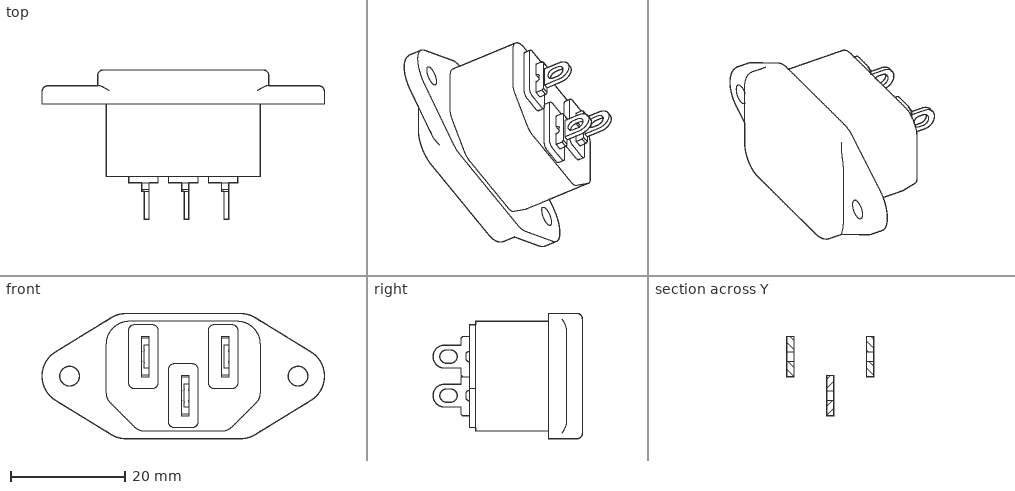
import cadquery as cq
import math


COLLAR_WIDTH = 30.0
COLLAR_HEIGHT = 22.0
COLLAR_DEPTH = 6.0
COLLAR_CORNER_RADIUS = 5.0
COLLAR_EDGE_FILLET = 1.0
FLANGE_LENGTH = 49.5
FLANGE_THICKNESS = 3.2
FLANGE_EDGE_FILLET = 1.05
EAR_RADIUS = COLLAR_CORNER_RADIUS
MOUNTING_HOLE_SPACING = 40.0
MOUNTING_HOLE_SHIFT_X = 0.1
MOUNTING_HOLE_DIAMETER = 3.4

BODY_WIDTH = 27.0
BODY_HEIGHT = 19.25
BODY_DEPTH = 12.7
BODY_TOP_RADIUS = 4.05
BODY_CHAMFER = 5.7
BODY_CHAMFER_RADIUS = 2.48

PAD_WIDTH = 5.2
PAD_HEIGHT = 11.2
PAD_THICKNESS = 1.1
PAD_CORNER_RADIUS = 1.05
PAD_SPACING = 7.0
PAD_OFFSET_Z = 3.4
PAD_CENTERS = [
    (-PAD_SPACING, PAD_OFFSET_Z),
    (0, -PAD_OFFSET_Z),
    (PAD_SPACING, PAD_OFFSET_Z),
]
BODY_REAR_Y = -BODY_DEPTH
PAD_FACE_Y = BODY_REAR_Y - PAD_THICKNESS

BASE_WIDTH = 1.3
BASE_HEIGHT = 7.1
BASE_DEPTH = 1.5
BASE_CHAMFER = 0.3
BASE_OFFSET_X = 0.35
NOTCH_WIDTH = 1.75
NOTCH_DEPTH = 0.6
NOTCH_CORNER_RADIUS = 0.5
TAB_THICKNESS = 0.85
TAB_HEIGHT = 4.05
TAB_LENGTH = 4.9
EYE_LENGTH = 3.0
EYE_HEIGHT = 2.3
EYE_CENTER_FROM_BASE = 2.2


def rear_facing_plane(y):
    """XZ sketch plane at the given Y; positive extrusion goes toward -Y."""
    return cq.Workplane("XZ", origin=(0, y, 0))


def make_collar():
    collar = (
        rear_facing_plane(0)
        .rect(COLLAR_WIDTH, COLLAR_HEIGHT)
        .extrude(-COLLAR_DEPTH)
        .edges("|Y")
        .fillet(COLLAR_CORNER_RADIUS)
    )
    return collar.faces(">Y").edges().fillet(COLLAR_EDGE_FILLET)


def make_flange():
    """Plate whose slanted sides are tangent to the ear arcs and the collar corners."""
    ear_x = FLANGE_LENGTH / 2 - EAR_RADIUS
    corner_x = COLLAR_WIDTH / 2 - COLLAR_CORNER_RADIUS
    corner_z = COLLAR_HEIGHT / 2 - COLLAR_CORNER_RADIUS
    slant = math.atan2(corner_z, ear_x - corner_x)
    tangent_x = EAR_RADIUS * math.sin(slant)
    tangent_z = EAR_RADIUS * math.cos(slant)
    ear_end = (ear_x + tangent_x, tangent_z)
    collar_end = (corner_x + tangent_x, corner_z + tangent_z)
    plate = (
        rear_facing_plane(0)
        .moveTo(-collar_end[0], collar_end[1])
        .lineTo(collar_end[0], collar_end[1])
        .lineTo(ear_end[0], ear_end[1])
        .threePointArc((FLANGE_LENGTH / 2, 0), (ear_end[0], -ear_end[1]))
        .lineTo(collar_end[0], -collar_end[1])
        .lineTo(-collar_end[0], -collar_end[1])
        .lineTo(-ear_end[0], -ear_end[1])
        .threePointArc((-FLANGE_LENGTH / 2, 0), (-ear_end[0], ear_end[1]))
        .close()
        .extrude(-FLANGE_THICKNESS)
    )
    return plate.faces(">Y").edges().fillet(FLANGE_EDGE_FILLET)


def make_mounting_holes():
    return (
        rear_facing_plane(0)
        .center(MOUNTING_HOLE_SHIFT_X, 0)
        .pushPoints([(-MOUNTING_HOLE_SPACING / 2, 0), (MOUNTING_HOLE_SPACING / 2, 0)])
        .circle(MOUNTING_HOLE_DIAMETER / 2)
        .extrude(-FLANGE_THICKNESS)
    )


def make_rear_body():
    """Block with large top corners and chamfered, softened bottom corners."""
    block = rear_facing_plane(0).rect(BODY_WIDTH, BODY_HEIGHT).extrude(BODY_DEPTH)
    block = block.edges("|Y and >Z").fillet(BODY_TOP_RADIUS)
    block = block.edges("|Y and <Z").chamfer(BODY_CHAMFER)
    lower_half = cq.selectors.BoxSelector(
        (-BODY_WIDTH, -BODY_DEPTH, -BODY_HEIGHT),
        (BODY_WIDTH, 0, 0),
    )
    return block.edges("|Y").edges(lower_half).fillet(BODY_CHAMFER_RADIUS)


def make_pads():
    return (
        rear_facing_plane(BODY_REAR_Y)
        .pushPoints(PAD_CENTERS)
        .rect(PAD_WIDTH, PAD_HEIGHT)
        .extrude(PAD_THICKNESS)
        .edges("|Y")
        .fillet(PAD_CORNER_RADIUS)
    )


def make_housing():
    shell = make_collar().union(make_flange()).cut(make_mounting_holes())
    return shell.union(make_rear_body()).union(make_pads())


def make_terminal(pad_x, pad_z):
    """Blade standing on a pad: a notched base and a thinner round-ended tab with an eye."""
    left_x = pad_x + BASE_OFFSET_X - BASE_WIDTH / 2
    right_x = left_x + BASE_WIDTH
    base_end_y = PAD_FACE_Y - BASE_DEPTH

    base_plane = cq.Workplane("YZ", origin=(left_x, 0, pad_z))
    base = (
        base_plane.center(PAD_FACE_Y - BASE_DEPTH / 2, 0)
        .rect(BASE_DEPTH, BASE_HEIGHT)
        .extrude(BASE_WIDTH)
        .edges("|X and <Y")
        .chamfer(BASE_CHAMFER)
    )
    notch = (
        base_plane.center(PAD_FACE_Y - NOTCH_DEPTH / 2, 0)
        .rect(NOTCH_DEPTH, NOTCH_WIDTH)
        .extrude(BASE_WIDTH)
        .edges("|X and <Y")
        .fillet(NOTCH_CORNER_RADIUS)
    )

    tab_plane = cq.Workplane("YZ", origin=(right_x - TAB_THICKNESS, 0, pad_z))
    tab_tip_y = base_end_y - TAB_LENGTH
    tab_arc_y = tab_tip_y + TAB_HEIGHT / 2
    tab = (
        tab_plane.moveTo(base_end_y, TAB_HEIGHT / 2)
        .lineTo(tab_arc_y, TAB_HEIGHT / 2)
        .threePointArc((tab_tip_y, 0), (tab_arc_y, -TAB_HEIGHT / 2))
        .lineTo(base_end_y, -TAB_HEIGHT / 2)
        .close()
        .extrude(TAB_THICKNESS)
    )
    eye = (
        tab_plane.center(base_end_y - EYE_CENTER_FROM_BASE, 0)
        .slot2D(EYE_LENGTH, EYE_HEIGHT)
        .extrude(TAB_THICKNESS)
    )
    return base.cut(notch).union(tab).cut(eye)


housing = make_housing()
terminals = [make_terminal(x, z) for x, z in PAD_CENTERS]

result = cq.Compound.makeCompound([housing.val(), *[terminal.val() for terminal in terminals]])